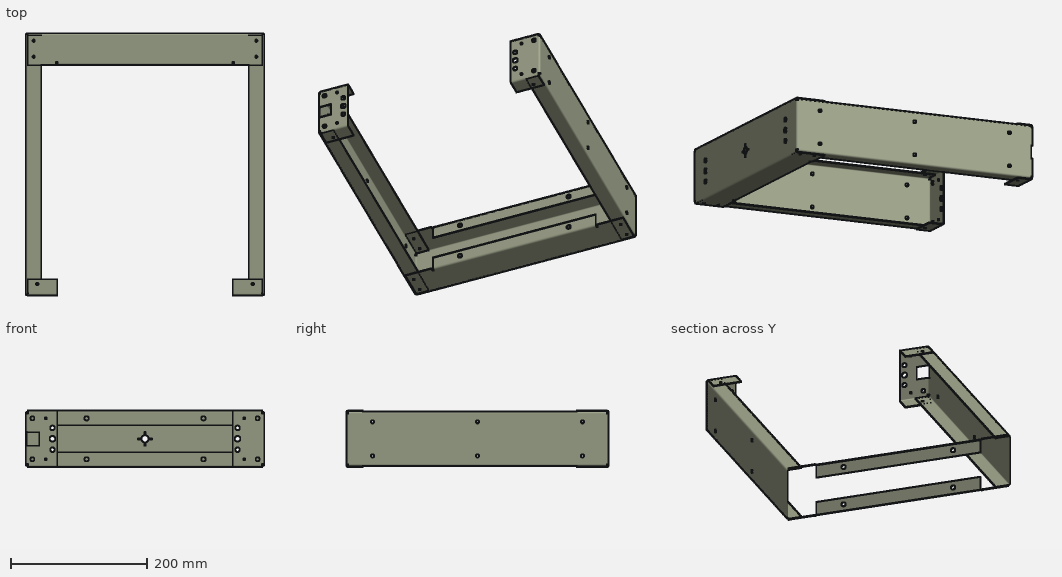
import cadquery as cq
import math


width = 350.0
depth = 385.0
height = 83.17

sheet = 1.5
bend_outer = 3.0
bend_inner = bend_outer - sheet
side_height = height - 2 * sheet
bend_height = side_height - 2 * bend_outer

side_flange = 23.0
rear_flange = 47.0
end_flange = 24.0
end_plate_width = 46.5

lip_height = 22.0
lip_inset = end_plate_width
relief_width = 2.0
relief_depth = 4.5

corner_hole_dia = 6.0
corner_hole_x = 9.75
pilot_dia = 3.0
pilot_x = 29.5
plate_hole_z = 30.0
connector_x = 39.25
connector_pitch = 16.0
connector_outer_dia = 6.5
connector_middle_dia = 8.0

opening_size = 20.0

side_hole_dia = 4.5
side_hole_pitch_y = 154.0
side_hole_z = 25.0
end_flange_hole_dia = 3.3
end_flange_hole_x = 17.0
end_flange_hole_y = 17.0
rear_hole_dia = 3.0
rear_hole_x = 11.7
rear_hole_pitch = 23.5
rear_hole_edge = 11.2
lip_hole_dia = 6.5
lip_hole_spacing = 171.5
lip_hole_z = 30.0

cross_bore_dia = 10.3
cross_span = 20.0
cross_slot_width = 1.5


def box(x0, x1, y0, y1, z0, z1):
    """Block between opposite corners."""
    return cq.Workplane("XY").box(x1 - x0, y1 - y0, z1 - z0, centered=False).translate((x0, y0, z0))


def hole_x(dia, y, z):
    """Cutter along X across the whole width."""
    return cq.Workplane("YZ").center(y, z).circle(dia / 2).extrude(width)


def hole_y(dia, x, z, y0, y1):
    """Cutter along Y from y0 to y1."""
    return cq.Workplane("XZ", origin=(x, y0, z)).circle(dia / 2).extrude(y0 - y1)


def hole_z(dia, x, y):
    """Cutter along Z through the top and bottom flanges."""
    return cq.Workplane("XY", origin=(x, y, -height / 2)).circle(dia / 2).extrude(height)


def mirrored_x(shape):
    """Copy of a shape on the opposite side of the frame's centre plane."""
    return shape.mirror("YZ", (width / 2, 0, 0))


def bent_channel(channel_height, flange, length):
    """C-section with its web at X = 0 and flanges along +X, running along +Y from Y = 0."""
    half = channel_height / 2

    def bent_outline(inset, radius):
        edge = half - inset
        diagonal = radius * (1 - math.sqrt(0.5))
        return (
            cq.Workplane("XZ")
            .moveTo(flange, edge)
            .lineTo(inset + radius, edge)
            .threePointArc((inset + diagonal, edge - diagonal), (inset, edge - radius))
            .lineTo(inset, radius - edge)
            .threePointArc((inset + diagonal, diagonal - edge), (inset + radius, -edge))
            .lineTo(flange, -edge)
            .close()
            .extrude(-length)
        )

    return bent_outline(0, bend_outer).cut(bent_outline(sheet, bend_inner))


def corner_bend():
    """Quarter-round upright bend joining a side wall to the front wall."""
    half = bend_height / 2
    quarter = box(0, bend_outer, 0, bend_outer, -half, half)
    tube = (
        cq.Workplane("XY", origin=(bend_outer, bend_outer, -half))
        .circle(bend_outer)
        .circle(bend_inner)
        .extrude(bend_height)
    )
    return quarter.intersect(tube)


def side_channel():
    """Left side channel, with its web carried around both ends by the upright bends.

    The flanges stop short of the bends of the front and rear walls.
    """
    half = bend_height / 2
    side = bent_channel(side_height, side_flange, depth - 2 * sheet).translate((0, sheet, 0))
    front_bend = corner_bend()
    rear_bend = front_bend.mirror("XZ", (0, depth / 2, 0))
    for bend, y0, y1 in ((front_bend, 0, bend_outer), (rear_bend, depth - bend_outer, depth)):
        side = side.cut(box(0, bend_outer, y0, y1, -half, half)).union(bend)
        side = side.cut(box(bend_outer, side_flange, y0, y1, -side_height / 2, side_height / 2))
    return side


def end_channel():
    """Left front end plate with its top and bottom flanges, corner holes and pilot holes."""
    end = bent_channel(height, end_flange, end_plate_width - bend_outer)
    end = end.rotate((0, 0, 0), (0, 0, 1), 90).translate((end_plate_width, 0, 0))
    for z in (-plate_hole_z, plate_hole_z):
        end = end.cut(hole_y(corner_hole_dia, corner_hole_x, z, 0, bend_outer))
        end = end.cut(hole_y(pilot_dia, pilot_x, z, 0, bend_outer))
    return end


def lip():
    """Lip turned down from the front edge of the rear rail's top flange."""
    front = depth - rear_flange
    top = height / 2
    length = width - 2 * lip_inset
    diagonal = bend_outer * (1 - math.sqrt(0.5))
    inner_diagonal = bend_outer - bend_inner * math.sqrt(0.5)
    strip = (
        cq.Workplane("YZ", origin=(lip_inset, 0, 0))
        .moveTo(front + bend_outer, top)
        .threePointArc((front + diagonal, top - diagonal), (front, top - bend_outer))
        .lineTo(front, top - lip_height)
        .lineTo(front + sheet, top - lip_height)
        .lineTo(front + sheet, top - bend_outer)
        .threePointArc((front + inner_diagonal, top - inner_diagonal), (front + bend_outer, top - sheet))
        .close()
        .extrude(length)
    )
    for offset in (-lip_hole_spacing / 2, lip_hole_spacing / 2):
        strip = strip.cut(hole_y(lip_hole_dia, width / 2 + offset, lip_hole_z, front, front + bend_outer))
    return strip


def rear_rail():
    """Rear wall with full-width flanges, a lip on each flange and a cross-shaped opening."""
    front = depth - rear_flange
    rail = bent_channel(height, rear_flange, width - 2 * bend_outer)
    rail = rail.rotate((0, 0, 0), (0, 0, 1), -90).translate((bend_outer, depth, 0))

    half = height / 2
    rail = rail.cut(box(lip_inset, width - lip_inset, front, front + bend_outer, -half, half))
    for x in (lip_inset - relief_width, width - lip_inset):
        rail = rail.cut(box(x, x + relief_width, front, front + relief_depth, -half, half))
    top_lip = lip()
    rail = rail.union(top_lip).union(top_lip.mirror("XY"))

    middle = width / 2
    reach = cross_span / 2
    half_slot = cross_slot_width / 2
    wall = depth - bend_outer
    rail = rail.cut(hole_y(cross_bore_dia, middle, 0, wall, depth))
    rail = rail.cut(box(middle - reach, middle + reach, wall, depth, -half_slot, half_slot))
    return rail.cut(box(middle - half_slot, middle + half_slot, wall, depth, -reach, reach))


def build_frame():
    """Joined channels, followed by the openings that pass through more than one of them."""
    left = side_channel().union(end_channel())
    frame = rear_rail().union(left).union(mirrored_x(left))

    half_opening = opening_size / 2
    frame = frame.cut(box(0, opening_size, 0, bend_outer, -half_opening, half_opening))

    for step in (-1, 0, 1):
        for z in (-side_hole_z, side_hole_z):
            frame = frame.cut(hole_x(side_hole_dia, depth / 2 + step * side_hole_pitch_y, z))

    rear_hole_y = depth - rear_hole_edge
    paired_holes = hole_z(end_flange_hole_dia, end_flange_hole_x, end_flange_hole_y)
    for y in (rear_hole_y, rear_hole_y - rear_hole_pitch):
        paired_holes = paired_holes.union(hole_z(rear_hole_dia, rear_hole_x, y))
    paired_holes = paired_holes.union(hole_y(connector_middle_dia, connector_x, 0, 0, depth))
    for z in (-connector_pitch, connector_pitch):
        paired_holes = paired_holes.union(hole_y(connector_outer_dia, connector_x, z, 0, depth))
    return frame.cut(paired_holes).cut(mirrored_x(paired_holes))


result = build_frame()